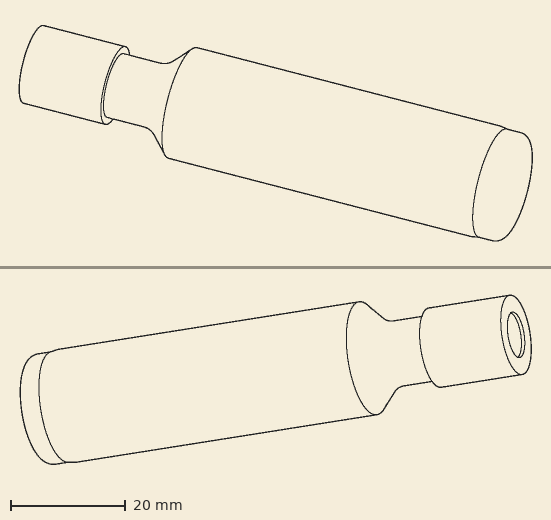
import cadquery as cq
import math

total_length = 90.0
barrel_diameter = 20.0
left_end = -total_length / 2
right_end = total_length / 2

plug_diameter = 14.0
plug_length = 15.3
recess_diameter = 8.0
recess_depth = 0.6

neck_diameter = 11.5
shoulder_angle = math.radians(45)
barrel_start = left_end + 27.9
flare_radius = 3.8

cap_diameter = 19.5
cap_length = 4.05
cap_edge_radius = 1.5
taper_length = 1.35


def revolve_about_x(profile):
    """Turn a closed half profile in the XY plane into a solid of revolution."""
    return profile.close().revolve(360, (0, 0, 0), (1, 0, 0))


def make_housing():
    """Plug, neck, shoulder and barrel in one turned piece."""
    plug_radius = plug_diameter / 2
    neck_radius = neck_diameter / 2
    barrel_radius = barrel_diameter / 2
    recess_radius = recess_diameter / 2
    cap_radius = cap_diameter / 2

    recess_floor = left_end + recess_depth
    plug_end = left_end + plug_length
    housing_end = right_end - cap_length

    flare_end_radius = neck_radius + flare_radius * (1 - math.cos(shoulder_angle))
    flare_end = barrel_start - (barrel_radius - flare_end_radius) / math.tan(shoulder_angle)
    flare_start = flare_end - flare_radius * math.sin(shoulder_angle)
    half_angle = shoulder_angle / 2
    flare_middle = (
        flare_start + flare_radius * math.sin(half_angle),
        neck_radius + flare_radius * (1 - math.cos(half_angle)),
    )

    profile = (
        cq.Workplane("XY")
        .moveTo(recess_floor, 0)
        .lineTo(recess_floor, recess_radius)
        .lineTo(left_end, recess_radius)
        .lineTo(left_end, plug_radius)
        .lineTo(plug_end, plug_radius)
        .lineTo(plug_end, neck_radius)
        .lineTo(flare_start, neck_radius)
        .threePointArc(flare_middle, (flare_end, flare_end_radius))
        .lineTo(barrel_start, barrel_radius)
        .lineTo(housing_end - taper_length, barrel_radius)
        .lineTo(housing_end, cap_radius)
        .lineTo(housing_end, 0)
    )
    return revolve_about_x(profile)


def make_cap():
    """Solid disc with a rounded outer edge, seated on the end of the housing."""
    disc = (
        cq.Workplane("YZ", origin=(right_end - cap_length, 0, 0))
        .circle(cap_diameter / 2)
        .extrude(cap_length)
    )
    return disc.faces(">X").edges().fillet(cap_edge_radius)


housing = make_housing()
cap = make_cap()

result = cq.Compound.makeCompound([housing.val(), cap.val()])